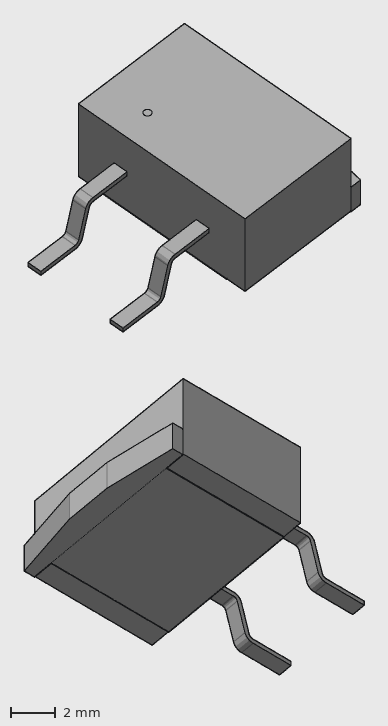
import cadquery as cq
import math


total_length = 13.69
total_height = 4.75

width = 10.31
housing_depth = 6.88
tab_drop = 0.05
housing_height = total_height - tab_drop

tab_length = 1.22
tab_thickness = 1.6
tab_side_length = 0.61
tab_rear_width = 2.6
pad_width = 8.0

lead_pitch = 5.08
lead_width = 0.8
lead_thickness = 0.26
lead_top = 2.48
lead_reach = total_length - tab_length - housing_depth
lead_straight = 2.21
bend_angle = math.radians(75)
bend_inner_radius = 0.235
bend_outer_radius = bend_inner_radius + lead_thickness

mark_diameter = 0.41
mark_depth = 0.1
mark_x = -lead_pitch / 2
mark_y = 1.74


def make_mark():
    """Thin disc set flush into the top of the housing, in line with the left lead."""
    return (
        cq.Workplane("XY", origin=(mark_x, mark_y, housing_height - mark_depth))
        .circle(mark_diameter / 2)
        .extrude(mark_depth)
    )


def make_housing(mark):
    """Plain block with a recess for the pin-one mark."""
    block = cq.Workplane("XY").box(width, housing_depth, housing_height, centered=(True, False, False))
    return block.cut(mark)


def make_tab():
    """Rear block with slanted corners, joined to the pad below the housing."""
    side_x = width / 2
    rear_x = tab_rear_width / 2
    corner_y = housing_depth + tab_side_length
    rear_y = housing_depth + tab_length
    block = (
        cq.Workplane("XY", origin=(0, 0, -tab_drop))
        .moveTo(-side_x, housing_depth)
        .lineTo(side_x, housing_depth)
        .lineTo(side_x, corner_y)
        .lineTo(rear_x, rear_y)
        .lineTo(-rear_x, rear_y)
        .lineTo(-side_x, corner_y)
        .close()
        .extrude(tab_thickness)
    )
    pad = (
        cq.Workplane("XY", origin=(0, 0, -tab_drop))
        .box(pad_width, housing_depth, tab_drop, centered=(True, False, False))
    )
    return block.union(pad)


def make_lead(center_x):
    """Gull-wing strip: level run, bend down, slope, bend back to a level foot."""
    upper_y = -lead_straight
    upper_z = lead_top - bend_outer_radius
    lower_z = lead_thickness + bend_inner_radius
    center_gap = bend_inner_radius + bend_outer_radius
    slope_length = (upper_z - lower_z + center_gap * math.cos(bend_angle)) / math.sin(bend_angle)
    lower_y = upper_y - center_gap * math.sin(bend_angle) - slope_length * math.cos(bend_angle)

    def on_upper_bend(radius, turn):
        return (upper_y - radius * math.sin(turn), upper_z + radius * math.cos(turn))

    def on_lower_bend(radius, turn):
        return (lower_y + radius * math.sin(turn), lower_z - radius * math.cos(turn))

    half_bend = bend_angle / 2
    outline = (
        cq.Workplane("YZ", origin=(center_x - lead_width / 2, 0, 0))
        .moveTo(0, lead_top)
        .lineTo(*on_upper_bend(bend_outer_radius, 0))
        .threePointArc(
            on_upper_bend(bend_outer_radius, half_bend),
            on_upper_bend(bend_outer_radius, bend_angle),
        )
        .lineTo(*on_lower_bend(bend_inner_radius, bend_angle))
        .threePointArc(
            on_lower_bend(bend_inner_radius, half_bend),
            on_lower_bend(bend_inner_radius, 0),
        )
        .lineTo(-lead_reach, lead_thickness)
        .lineTo(-lead_reach, 0)
        .lineTo(*on_lower_bend(bend_outer_radius, 0))
        .threePointArc(
            on_lower_bend(bend_outer_radius, half_bend),
            on_lower_bend(bend_outer_radius, bend_angle),
        )
        .lineTo(*on_upper_bend(bend_inner_radius, bend_angle))
        .threePointArc(
            on_upper_bend(bend_inner_radius, half_bend),
            on_upper_bend(bend_inner_radius, 0),
        )
        .lineTo(0, lead_top - lead_thickness)
        .close()
    )
    return outline.extrude(lead_width)


mark = make_mark()
housing = make_housing(mark)
tab = make_tab()
leads = [make_lead(side * lead_pitch / 2) for side in (-1, 1)]

result = cq.Compound.makeCompound(
    [housing.val(), tab.val(), mark.val(), *[lead.val() for lead in leads]]
)